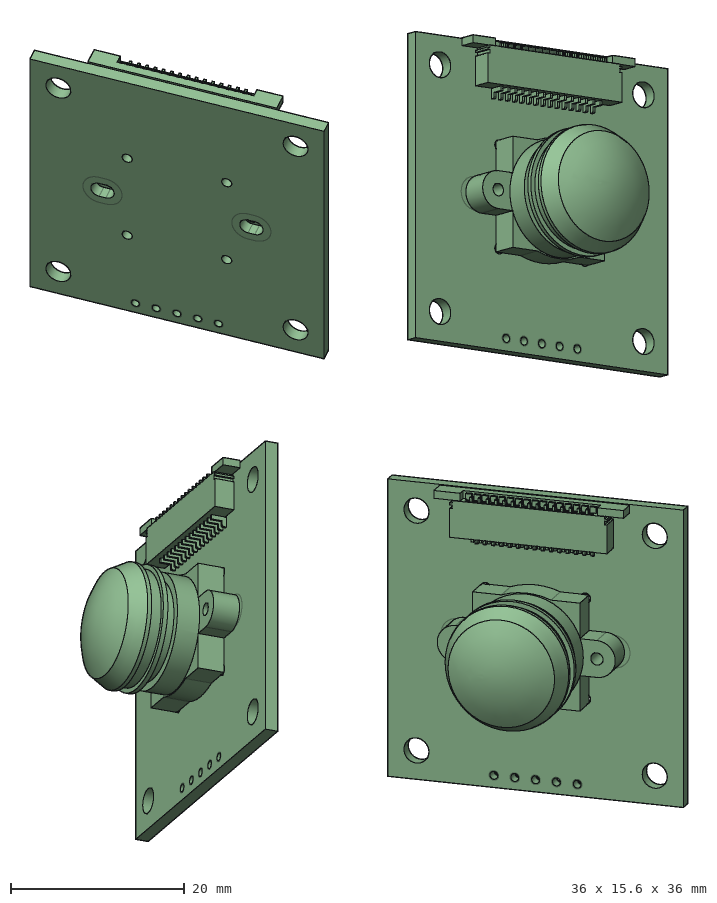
import cadquery as cq
import math


BOARD_SIZE = 36.0
BOARD_THICKNESS = 1.6
OVERALL_DEPTH = 15.55
CORNER_HOLE_DIAMETER = 3.02
CORNER_HOLE_OFFSET = 14.5
LOCATING_HOLE_DIAMETER = 1.22
LOCATING_HOLE_OFFSET = 6.1
SLOT_LENGTH = 2.85
SLOT_WIDTH = 2.0
SLOT_OFFSET = 9.1
SLOT_RING_WIDTH = 0.97
HEADER_HOLE_DIAMETER = 0.95
HEADER_PAD_DIAMETER = 1.15
HEADER_HOLE_COUNT = 5
HEADER_SPAN = 10.15
HEADER_Z = -16.52

BASE_SIDE = 13.05
BASE_HEIGHT = 3.28
BULGE_WIDTH = 6.05
BULGE_HEIGHT = 0.55
EAR_RADIUS = 2.25
EAR_HOLE_OFFSET = 8.6
EAR_HOLE_DIAMETER = 1.48
BARREL_RADIUS = 6.95
BARREL_HEIGHT = 2.8

NECK_RADIUS = 5.98
NECK_HEIGHT = 1.48
FLANGE_RADIUS = 7.52
LOWER_FLANGE_HEIGHT = 0.58
GROOVE_RADIUS = BARREL_RADIUS
GROOVE_HEIGHT = 1.48
UPPER_FLANGE_HEIGHT = 0.5
CONE_HEIGHT = 1.98
DOME_EDGE_RADIUS = 6.48

CONNECTOR_TOP = BOARD_SIZE / 2
SLIDER_WIDTH = 23.1
SLIDER_LENGTH = 0.95
SLIDER_UNDERSIDE = 0.25
SLIDER_HEIGHT = 2.4
NOTCH_WIDTH = 16.7
NOTCH_FLOOR = 1.35
BODY_WIDTH = 19.15
BODY_LENGTH = 5.4
BODY_UNDERSIDE = 0.15
BODY_HEIGHT = 2.55
SIDE_GROOVE_DEPTH = 0.3
SIDE_RIB_START = 1.22
SIDE_RIB_END = 1.48
SIDE_GROOVE_END = 1.9
CONTACT_COUNT = 15
CONTACT_PITCH = 1.0
CONTACT_WIDTH = 0.3
CONTACT_UNDERSIDE = 1.98
CONTACT_SETBACK = 0.4
CELL_WIDTH = 0.45
CELL_FLOOR = 2.05
CELL_TOP = 2.38
CELL_DEPTH = 0.72
COMB_HEIGHT = 0.35
COMB_SETBACK = 0.2
TAIL_HEIGHT = 1.87
TAIL_SHOULDER_LENGTH = 0.55
FOOT_THICKNESS = 0.55
FOOT_LENGTH = 1.22
FOOT_ROUND = 0.2

BOARD_FACE = BOARD_THICKNESS
BARREL_BASE = BOARD_FACE + BASE_HEIGHT
LENS_SEAT = BARREL_BASE + BARREL_HEIGHT


def facing(y):
    """Sketch plane parallel to the board at height y; extrude by a negative length to go +Y."""
    return cq.Workplane("XZ", origin=(0, y, 0))


def block(width, y_low, y_high, z_low, z_high, x_centre):
    """Box centred on x_centre between the given Y and Z limits."""
    box = cq.Workplane("XY").box(width, y_high - y_low, z_high - z_low, centered=(True, False, False))
    return box.translate((x_centre, y_low, z_low))


def evenly_spaced(count, pitch):
    """X places of a row centred on the YZ plane."""
    return [(i - (count - 1) / 2) * pitch for i in range(count)]


SLOT_POINTS = [(-SLOT_OFFSET, 0), (SLOT_OFFSET, 0)]
HEADER_PITCH = HEADER_SPAN / (HEADER_HOLE_COUNT - 1)
HEADER_POINTS = [(x, HEADER_Z) for x in evenly_spaced(HEADER_HOLE_COUNT, HEADER_PITCH)]


def slot_prisms(margin):
    """Both mounting slots through the board, widened all round by margin."""
    return (
        facing(0)
        .pushPoints(SLOT_POINTS)
        .slot2D(SLOT_LENGTH + 2 * margin, SLOT_WIDTH + 2 * margin)
        .extrude(-BOARD_THICKNESS)
    )


def header_prisms(diameter):
    """The header row as cylinders through the board."""
    return facing(0).pushPoints(HEADER_POINTS).circle(diameter / 2).extrude(-BOARD_THICKNESS)


def square_holes(offset, diameter):
    """Four cylinders through the board on the corners of a centred square."""
    corners = facing(0).rect(2 * offset, 2 * offset, forConstruction=True).vertices()
    return corners.circle(diameter / 2).extrude(-BOARD_THICKNESS)


def make_board():
    board = facing(0).rect(BOARD_SIZE, BOARD_SIZE).extrude(-BOARD_THICKNESS)
    board = board.cut(square_holes(CORNER_HOLE_OFFSET, CORNER_HOLE_DIAMETER))
    board = board.cut(square_holes(LOCATING_HOLE_OFFSET, LOCATING_HOLE_DIAMETER))
    slot_rings = slot_prisms(SLOT_RING_WIDTH).cut(slot_prisms(0))
    header_rings = header_prisms(HEADER_PAD_DIAMETER).cut(header_prisms(HEADER_HOLE_DIAMETER))
    board = board.cut(slot_prisms(SLOT_RING_WIDTH)).cut(header_prisms(HEADER_PAD_DIAMETER))
    return board.union(slot_rings, clean=False).union(header_rings, clean=False)


def make_holder():
    half = BASE_SIDE / 2
    base = (
        facing(BOARD_FACE)
        .moveTo(-half, half)
        .lineTo(-BULGE_WIDTH / 2, half)
        .threePointArc((0, half + BULGE_HEIGHT), (BULGE_WIDTH / 2, half))
        .lineTo(half, half)
        .lineTo(half, -half)
        .lineTo(BULGE_WIDTH / 2, -half)
        .threePointArc((0, -half - BULGE_HEIGHT), (-BULGE_WIDTH / 2, -half))
        .lineTo(-half, -half)
        .close()
        .extrude(-BASE_HEIGHT)
    )
    ears = facing(BOARD_FACE).slot2D(2 * (EAR_HOLE_OFFSET + EAR_RADIUS), 2 * EAR_RADIUS).extrude(-BASE_HEIGHT)
    barrel = facing(BARREL_BASE).circle(BARREL_RADIUS).extrude(-BARREL_HEIGHT)
    ear_holes = (
        facing(BOARD_FACE)
        .pushPoints([(-EAR_HOLE_OFFSET, 0), (EAR_HOLE_OFFSET, 0)])
        .circle(EAR_HOLE_DIAMETER / 2)
        .extrude(-BASE_HEIGHT)
    )
    return base.union(ears).union(barrel).cut(ear_holes)


def make_lens():
    neck_top = LENS_SEAT + NECK_HEIGHT
    groove_bottom = neck_top + LOWER_FLANGE_HEIGHT
    groove_top = groove_bottom + GROOVE_HEIGHT
    cone_base = groove_top + UPPER_FLANGE_HEIGHT
    dome_base = cone_base + CONE_HEIGHT
    dome_height = OVERALL_DEPTH - dome_base
    dome_radius = (DOME_EDGE_RADIUS**2 + dome_height**2) / (2 * dome_height)
    half_angle = math.asin(DOME_EDGE_RADIUS / dome_radius) / 2
    dome_middle = (
        dome_radius * math.sin(half_angle),
        OVERALL_DEPTH - dome_radius * (1 - math.cos(half_angle)),
    )
    return (
        cq.Workplane("XY")
        .moveTo(0, LENS_SEAT)
        .lineTo(NECK_RADIUS, LENS_SEAT)
        .lineTo(NECK_RADIUS, neck_top)
        .lineTo(FLANGE_RADIUS, neck_top)
        .lineTo(FLANGE_RADIUS, groove_bottom)
        .lineTo(GROOVE_RADIUS, groove_bottom)
        .lineTo(GROOVE_RADIUS, groove_top)
        .lineTo(FLANGE_RADIUS, groove_top)
        .lineTo(FLANGE_RADIUS, cone_base)
        .lineTo(DOME_EDGE_RADIUS, dome_base)
        .threePointArc(dome_middle, (0, OVERALL_DEPTH))
        .close()
        .revolve(360, (0, 0, 0), (0, 1, 0))
    )


def connector_block(width, low, high, start, end, x_centre=0):
    """Box at heights low to high above the board, from start to end below the connector top."""
    z_low = CONNECTOR_TOP - end
    z_high = CONNECTOR_TOP - start
    return block(width, BOARD_FACE + low, BOARD_FACE + high, z_low, z_high, x_centre)


def make_slider():
    bar = connector_block(SLIDER_WIDTH, SLIDER_UNDERSIDE, SLIDER_HEIGHT, 0, SLIDER_LENGTH)
    return bar.cut(connector_block(NOTCH_WIDTH, NOTCH_FLOOR, SLIDER_HEIGHT, 0, SLIDER_LENGTH))


def make_connector_body():
    core_width = BODY_WIDTH - 2 * SIDE_GROOVE_DEPTH
    core = connector_block(core_width, BODY_UNDERSIDE, BODY_HEIGHT, SLIDER_LENGTH, BODY_LENGTH)
    rib = connector_block(BODY_WIDTH, BODY_UNDERSIDE, BODY_HEIGHT, SIDE_RIB_START, SIDE_RIB_END)
    rear = connector_block(BODY_WIDTH, BODY_UNDERSIDE, BODY_HEIGHT, SIDE_GROOVE_END, BODY_LENGTH)
    return core.union(rib).union(rear)


def make_contact(x):
    """Contact blade standing in the slider notch."""
    return connector_block(CONTACT_WIDTH, CONTACT_UNDERSIDE, SLIDER_HEIGHT, CONTACT_SETBACK, SLIDER_LENGTH, x)


def make_comb_tooth(x):
    """Low tooth on the notch floor, filling the space between two contact places."""
    width = CONTACT_PITCH - CONTACT_WIDTH
    return connector_block(width, NOTCH_FLOOR, NOTCH_FLOOR + COMB_HEIGHT, COMB_SETBACK, SLIDER_LENGTH, x)


def make_cell(x):
    """Pocket in the end of the body between two contact places."""
    return connector_block(CELL_WIDTH, CELL_FLOOR, CELL_TOP, SLIDER_LENGTH, SLIDER_LENGTH + CELL_DEPTH, x)


def make_tail(x):
    """Solder tail: a shoulder below the body and a round-ended foot on the board."""
    shoulder_end = BODY_LENGTH + TAIL_SHOULDER_LENGTH
    foot_end = BODY_LENGTH + FOOT_LENGTH
    shoulder = connector_block(CONTACT_WIDTH, 0, TAIL_HEIGHT, BODY_LENGTH, shoulder_end, x)
    foot = connector_block(CONTACT_WIDTH, 0, FOOT_THICKNESS, BODY_LENGTH, foot_end, x)
    return shoulder.union(foot.edges("|X and >Y and <Z").fillet(FOOT_ROUND))


def make_connector():
    connector = make_slider().union(make_connector_body())
    for x in evenly_spaced(CONTACT_COUNT, CONTACT_PITCH):
        connector = connector.union(make_contact(x)).union(make_tail(x))
    for x in evenly_spaced(CONTACT_COUNT + 1, CONTACT_PITCH):
        connector = connector.union(make_comb_tooth(x)).cut(make_cell(x))
    return connector


board = make_board()
holder = make_holder()
lens = make_lens()
connector = make_connector()

bodies = [board, holder, lens, connector]
result = cq.Compound.makeCompound([body.solids().val() for body in bodies])